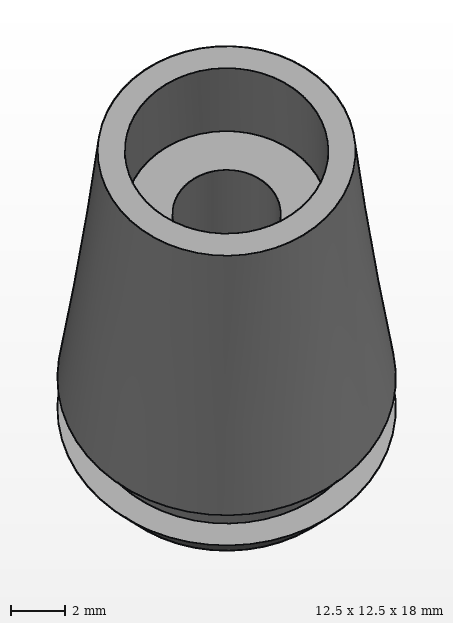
import cadquery as cq

total_height = 18.0
flange_height = 1.73
groove_height = 1.9
body_base = flange_height + groove_height

max_diameter = 12.5
top_diameter = 9.5
groove_diameter = 10.51
flange_bottom_diameter = groove_diameter

flare_sag = 0.07

bore_diameter = 7.5
bore_depth = 4.0
through_hole_diameter = 4.0


def turned_body():
    """Revolve the flange, groove and flared body about Z."""
    max_radius = max_diameter / 2
    top_radius = top_diameter / 2
    groove_radius = groove_diameter / 2
    flare_mid_radius = (max_radius + top_radius) / 2 - flare_sag
    flare_mid_height = (body_base + total_height) / 2
    profile = (
        cq.Workplane("XZ")
        .lineTo(flange_bottom_diameter / 2, 0)
        .lineTo(max_radius, flange_height)
        .lineTo(groove_radius, flange_height)
        .lineTo(groove_radius, body_base)
        .lineTo(max_radius, body_base)
        .threePointArc((flare_mid_radius, flare_mid_height), (top_radius, total_height))
        .lineTo(0, total_height)
        .close()
    )
    return profile.revolve(360, (0, 0, 0), (0, 1, 0))


result = (
    turned_body()
    .faces(">Z")
    .workplane()
    .cboreHole(through_hole_diameter, bore_diameter, bore_depth)
)